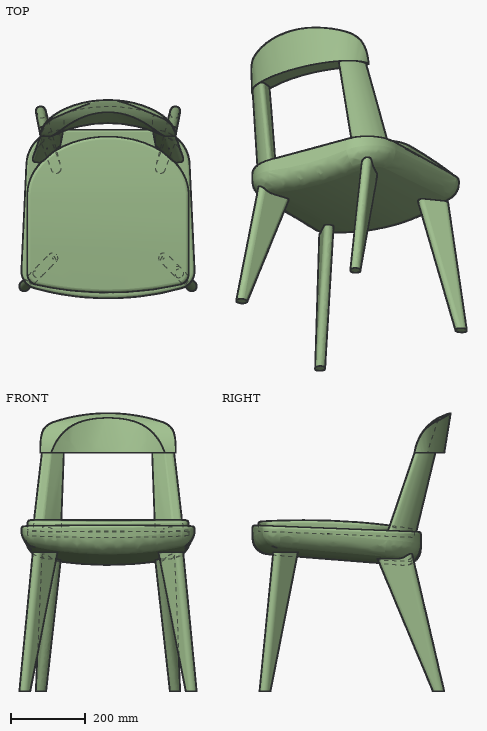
import cadquery as cq

SEAT_FRONT_Y = -266.0
SEAT_REAR_Y = 186.5
SEAT_FRONT_HALF = 234.0
SEAT_REAR_HALF = 215.0
SEAT_FRONT_CORNER_Y = -227.5
SEAT_FRONT_CORNER_R = 48.5
SEAT_REAR_CORNER_R = 97.0
RIM_REAR_Z = 427.0
RIM_FRONT_Z = 445.0
BELLY_REAR_Z = 337.0
BELLY_FRONT_Z = 373.0
BELLY_R = 895.0
BELLY_EDGE_R = 45.5
RIM_EDGE_R = 7.5

PAD_HALF = 216.0
PAD_ARC_Y = 12.0
PAD_REAR_Y = 168.0
PAD_FRONT_Y = -250.5
PAD_FRONT_CORNER_Y = -224.0
PAD_CORNER_R = 30.0
PAD_DEPTH = 15.0
PAD_REAR_RISE = 7.5
PAD_FRONT_RISE = 10.5
PAD_CROWN_Z = 457.0
PAD_EDGE_R = 9.0

RAIL_BOTTOM_Z = 639.0
TOP_Z = 746.0
RAIL_END_X = 182.0
RAIL_END_Y = 168.5
RAIL_INNER_X = 152.0
RAIL_REAR_Y = 249.0
RAIL_FRONT_Y = 203.5
RAIL_REAR_LEAN = 17.0
RAIL_FRONT_LEAN = 33.5
RAIL_CORNER_R = 52.0
RAIL_SWEEP = (189.5, 693.0)
ARCH_SHOULDER_Z = 708.5

POST_FOOT_Z = 429.0
POST_FOOT = [(203.5, 98.5), (176.0, 153.5), (125.0, 176.0), (127.0, 145.0), (176.0, 97.0)]
POST_HEAD = [(181.0, 169.0), (158.0, 208.0), (118.0, 227.5), (118.5, 187.0), (152.0, 168.5)]
POST_EDGE_R = 9.0
POST_SINK = 22.0

LEG_WIDTH = 27.0
FOOT_LENGTH = 31.0
LEG_TOP_Z = 373.0
FRONT_FOOT = (223.0, -232.0)
FRONT_TOP = (168.5, -177.0)
FRONT_TOP_LENGTH = 83.5
FRONT_ANGLE = -45.0
REAR_FOOT = (180.0, 233.5)
REAR_TOP = (151.0, 112.0)
REAR_TOP_LENGTH = 104.5
REAR_ANGLE = 70.0


def rim_z(y):
    """Height of the tilted rim plane at depth y."""
    slope = (RIM_REAR_Z - RIM_FRONT_Z) / (SEAT_REAR_Y - SEAT_FRONT_Y)
    return RIM_REAR_Z + slope * (y - SEAT_REAR_Y)


def mirrored(half):
    """Add the opposite-hand copy across the centre plane."""
    return half.union(half.mirror("YZ"))


def seat_base():
    plan = (
        cq.Workplane("XY")
        .moveTo(-SEAT_REAR_HALF, SEAT_REAR_Y)
        .lineTo(-SEAT_FRONT_HALF, SEAT_FRONT_CORNER_Y)
        .threePointArc((0, SEAT_FRONT_Y), (SEAT_FRONT_HALF, SEAT_FRONT_CORNER_Y))
        .lineTo(SEAT_REAR_HALF, SEAT_REAR_Y)
        .close()
        .extrude(TOP_Z)
    )
    plan = plan.edges("|Z").edges(">Y").fillet(SEAT_REAR_CORNER_R)
    plan = plan.edges("|Z").edges("<Y").fillet(SEAT_FRONT_CORNER_R)
    below_rim = (
        cq.Workplane("YZ")
        .polyline([
            (SEAT_REAR_Y, 0),
            (SEAT_REAR_Y, RIM_REAR_Z),
            (SEAT_FRONT_Y, RIM_FRONT_Z),
            (SEAT_FRONT_Y, 0),
        ])
        .close()
        .extrude(SEAT_FRONT_HALF, both=True)
    )
    run = SEAT_FRONT_Y - SEAT_REAR_Y
    axis = cq.Vector(0, run, BELLY_FRONT_Z - BELLY_REAR_Z)
    start = cq.Vector(0, SEAT_REAR_Y, BELLY_REAR_Z + BELLY_R) - axis
    belly = cq.Solid.makeCylinder(BELLY_R, 3 * axis.Length, start, axis)
    seat = plan.intersect(below_rim).intersect(cq.Workplane(belly))
    seat = seat.faces("<Z").edges().fillet(BELLY_EDGE_R)
    return seat.faces(">Z").edges().fillet(RIM_EDGE_R)


def cushion():
    plan = (
        cq.Workplane("XY")
        .moveTo(-PAD_HALF, PAD_FRONT_CORNER_Y)
        .threePointArc((0, PAD_FRONT_Y), (PAD_HALF, PAD_FRONT_CORNER_Y))
        .lineTo(PAD_HALF, PAD_ARC_Y)
        .ellipseArc(PAD_HALF, PAD_REAR_Y - PAD_ARC_Y, 0, 180, startAtCurrent=True, sense=1)
        .close()
        .extrude(TOP_Z)
        .edges("|Z").edges("<Y")
        .fillet(PAD_CORNER_R)
    )
    profile = (
        cq.Workplane("YZ")
        .moveTo(PAD_REAR_Y, rim_z(PAD_REAR_Y) - PAD_DEPTH)
        .lineTo(PAD_REAR_Y, rim_z(PAD_REAR_Y) + PAD_REAR_RISE)
        .threePointArc(
            ((PAD_REAR_Y + PAD_FRONT_Y) / 2, PAD_CROWN_Z),
            (PAD_FRONT_Y, rim_z(PAD_FRONT_Y) + PAD_FRONT_RISE),
        )
        .lineTo(PAD_FRONT_Y, rim_z(PAD_FRONT_Y) - PAD_DEPTH)
        .close()
        .extrude(PAD_HALF, both=True)
    )
    return plan.intersect(profile).faces(">Z").edges().fillet(PAD_EDGE_R)


def rail_section(z, rear_lean, front_lean):
    """Crescent-shaped plan section of the backrest."""
    return (
        cq.Workplane("XY", origin=(0, 0, z))
        .moveTo(RAIL_END_X, RAIL_END_Y)
        .ellipseArc(
            RAIL_END_X, RAIL_REAR_Y + rear_lean - RAIL_END_Y, 0, 180, startAtCurrent=True, sense=1
        )
        .lineTo(-RAIL_INNER_X, RAIL_END_Y)
        .threePointArc((0, RAIL_FRONT_Y + front_lean), (RAIL_INNER_X, RAIL_END_Y))
        .close()
        .wires()
        .val()
    )


def back_rail():
    shell = cq.Solid.makeLoft([
        rail_section(RAIL_BOTTOM_Z, 0, 0),
        rail_section(TOP_Z, RAIL_REAR_LEAN, RAIL_FRONT_LEAN),
    ])
    arch = (
        cq.Workplane("XZ")
        .moveTo(-RAIL_END_X, RAIL_BOTTOM_Z)
        .lineTo(RAIL_END_X, RAIL_BOTTOM_Z)
        .lineTo(RAIL_END_X, ARCH_SHOULDER_Z)
        .threePointArc((0, TOP_Z), (-RAIL_END_X, ARCH_SHOULDER_Z))
        .close()
        .extrude(-2 * RAIL_REAR_Y)
        .edges("|Y").edges(">Z")
        .fillet(RAIL_CORNER_R)
    )
    crown_y = RAIL_REAR_Y + RAIL_REAR_LEAN
    swept = (
        cq.Workplane("YZ")
        .moveTo(RAIL_END_Y, RAIL_BOTTOM_Z)
        .threePointArc(RAIL_SWEEP, (crown_y, TOP_Z))
        .lineTo(crown_y, RAIL_BOTTOM_Z)
        .close()
        .extrude(RAIL_END_X, both=True)
    )
    return cq.Workplane(shell).intersect(arch).intersect(swept)


def post_section(points, z):
    start, bulge, rear, inner, front = points
    return (
        cq.Workplane("XY", origin=(0, 0, z))
        .moveTo(*start)
        .threePointArc(bulge, rear)
        .lineTo(*inner)
        .lineTo(*front)
        .close()
        .wires()
        .val()
    )


def posts():
    extra = POST_SINK / (RAIL_BOTTOM_Z - POST_FOOT_Z)
    root = [
        (fx + (fx - hx) * extra, fy + (fy - hy) * extra)
        for (fx, fy), (hx, hy) in zip(POST_FOOT, POST_HEAD)
    ]
    post = cq.Solid.makeLoft(
        [post_section(root, POST_FOOT_Z - POST_SINK), post_section(POST_HEAD, RAIL_BOTTOM_Z)], True
    )
    return mirrored(cq.Workplane(post).edges("not (<Z or >Z)").fillet(POST_EDGE_R))


def leg(foot, top, top_length, angle):
    """Tapered leg, round at the floor and widening to a flat slot section."""
    lower = cq.Workplane("XY", origin=(*foot, 0)).slot2D(FOOT_LENGTH, LEG_WIDTH, angle)
    upper = cq.Workplane("XY", origin=(*top, LEG_TOP_Z)).slot2D(top_length, LEG_WIDTH, angle)
    return cq.Workplane(cq.Solid.makeLoft([lower.wires().val(), upper.wires().val()], True))


pad = cushion()
front_legs = mirrored(leg(FRONT_FOOT, FRONT_TOP, FRONT_TOP_LENGTH, FRONT_ANGLE))
rear_legs = mirrored(leg(REAR_FOOT, REAR_TOP, REAR_TOP_LENGTH, REAR_ANGLE))
frame = seat_base().union(posts()).union(back_rail()).union(front_legs).union(rear_legs).cut(pad)

result = cq.Compound.makeCompound([frame.val(), pad.val()])